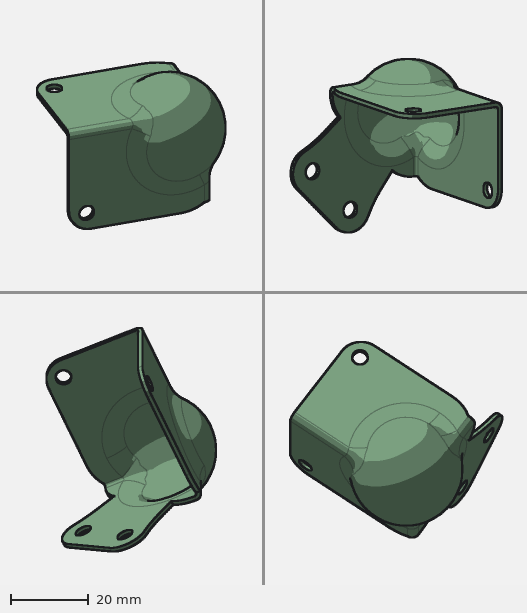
import cadquery as cq
import math

THICKNESS = 1.2
BALL_RADIUS = 14.5
PLATE_FACE = 8.5
BEND_RADIUS = 2.0
BLEND_RADIUS = 7.0
STOCK_LENGTH = 45.0

FLANGE_DEPTH = 20.5
FLANGE_LENGTH = 30.5
CORNER_RADIUS = 6.0
FLANGE_HOLE_DIAMETER = 4.0
FLANGE_HOLE_MARGIN = 4.8

BEND_END = 18.5
NOTCH = 16.0
TONGUE_HOLE_DIAMETER = 4.2
TONGUE_HOLE_FAR = 24.7
TONGUE_HOLE_NEAR = 13.0
TONGUE_DIRECTION = 225.0
TONGUE_TAPER = 7.0
TONGUE_FLARE_RADIUS = 33.0

BEND_LINE = PLATE_FACE - BEND_RADIUS
REACH = BALL_RADIUS + 1.0
TOLERANCE = 1e-3


def corner_form(inset):
    """Solid rounded corner with the blended ball, every surface offset inward by inset."""
    face = PLATE_FACE - inset
    ball_radius = BALL_RADIUS - inset
    stock_center = face - STOCK_LENGTH / 2
    block = (
        cq.Workplane("XY", origin=(stock_center, stock_center, stock_center))
        .box(STOCK_LENGTH, STOCK_LENGTH, STOCK_LENGTH)
        .edges("(>X and >Y) or (>X and >Z) or (>Y and >Z)")
        .fillet(BEND_RADIUS - inset)
    )
    ball = cq.Workplane("XY").sphere(ball_radius).rotate((0, 0, 0), (0, 0, 1), 180)
    form = block.union(ball)

    def joins_ball_to_block(edge):
        middle = edge.positionAt(0.5)
        on_ball = abs(middle.Length - ball_radius) < TOLERANCE
        on_block = max(middle.toTuple()) < face + TOLERANCE
        return on_ball and on_block

    joint = [edge for edge in form.edges().vals() if joins_ball_to_block(edge)]
    return form.newObject(joint).fillet(BLEND_RADIUS + inset)


def flange_trim(plane, height):
    """Region kept around the top or side plate, drawn in a plane at its bend line."""
    step = FLANGE_DEPTH - BEND_END
    relief_radius = (step**2 + BEND_LINE**2) / (2 * step)
    relief_half_angle = math.asin(BEND_LINE / relief_radius) / 2
    relief_middle = (
        relief_radius * (1 - math.cos(relief_half_angle)) - FLANGE_DEPTH,
        relief_radius * math.sin(relief_half_angle),
    )
    corner_center = (CORNER_RADIUS - FLANGE_DEPTH, CORNER_RADIUS - FLANGE_LENGTH)
    diagonal_offset = CORNER_RADIUS / math.sqrt(2)
    corner_middle = (corner_center[0] - diagonal_offset, corner_center[1] - diagonal_offset)
    hole_center = (FLANGE_HOLE_MARGIN - FLANGE_DEPTH, FLANGE_HOLE_MARGIN - FLANGE_LENGTH)
    outline = (
        cq.Workplane(plane)
        .moveTo(REACH, REACH)
        .lineTo(-BEND_END, REACH)
        .lineTo(-BEND_END, BEND_LINE)
        .threePointArc(relief_middle, (-FLANGE_DEPTH, 0))
        .lineTo(-FLANGE_DEPTH, corner_center[1])
        .threePointArc(corner_middle, (corner_center[0], -FLANGE_LENGTH))
        .lineTo(REACH, -FLANGE_LENGTH)
        .close()
    )
    hole = cq.Workplane(plane).center(*hole_center).circle(FLANGE_HOLE_DIAMETER / 2)
    return outline.extrude(height).cut(hole.extrude(height))


def tongue_half_points():
    """Points of the upper tongue side as (x, z), from the notch to the end edge."""
    side_angle = math.radians(TONGUE_DIRECTION - TONGUE_TAPER)
    along = (math.cos(side_angle), math.sin(side_angle))
    outward = (along[1], -along[0])
    hole = (-TONGUE_HOLE_FAR, -TONGUE_HOLE_NEAR)

    to_hole = (hole[0] + NOTCH, hole[1])
    hole_along = to_hole[0] * along[0] + to_hole[1] * along[1]
    hole_outward = to_hole[0] * outward[0] + to_hole[1] * outward[1]
    center_gap = TONGUE_FLARE_RADIUS + CORNER_RADIUS
    flare_drop = TONGUE_FLARE_RADIUS - hole_outward
    flare_along = hole_along - math.sqrt(center_gap**2 - flare_drop**2)

    flare_start = (flare_along * along[0] - NOTCH, flare_along * along[1])
    flare_center = (
        flare_start[0] + TONGUE_FLARE_RADIUS * outward[0],
        flare_start[1] + TONGUE_FLARE_RADIUS * outward[1],
    )
    flare_end_angle = math.atan2(hole[1] - flare_center[1], hole[0] - flare_center[0])
    flare_start_angle = math.atan2(-outward[1], -outward[0])

    def on_circle(center, radius, angle):
        return (center[0] + radius * math.cos(angle), center[1] + radius * math.sin(angle))

    flare_middle = on_circle(
        flare_center, TONGUE_FLARE_RADIUS, (flare_start_angle + flare_end_angle) / 2
    )
    flare_end = on_circle(flare_center, TONGUE_FLARE_RADIUS, flare_end_angle)
    corner_start_angle = flare_end_angle + math.pi
    corner_end_angle = math.radians(TONGUE_DIRECTION)
    corner_middle = on_circle(hole, CORNER_RADIUS, (corner_start_angle + corner_end_angle) / 2)
    corner_end = on_circle(hole, CORNER_RADIUS, corner_end_angle)
    return flare_start, flare_middle, flare_end, corner_middle, corner_end


def back_trim():
    """Region kept around the back plate with its diagonal two-hole tongue."""
    step = BEND_END - NOTCH
    shoulder_radius = (step**2 + BEND_LINE**2) / (2 * step)
    shoulder_half_angle = math.asin(BEND_LINE / shoulder_radius) / 2
    shoulder_middle = (
        shoulder_radius * (1 - math.cos(shoulder_half_angle)) - BEND_END,
        BEND_LINE - shoulder_radius * math.sin(shoulder_half_angle),
    )
    flare_start, flare_middle, flare_end, corner_middle, corner_end = tongue_half_points()

    def mirrored(point):
        return (point[1], point[0])

    plane = cq.Plane(origin=(0, BEND_LINE, 0), xDir=(1, 0, 0), normal=(0, -1, 0))
    outline = (
        cq.Workplane(plane)
        .moveTo(REACH, REACH)
        .lineTo(-BEND_END, REACH)
        .lineTo(-BEND_END, BEND_LINE)
        .threePointArc(shoulder_middle, (-NOTCH, 0))
        .lineTo(*flare_start)
        .threePointArc(flare_middle, flare_end)
        .threePointArc(corner_middle, corner_end)
        .lineTo(*mirrored(corner_end))
        .threePointArc(mirrored(corner_middle), mirrored(flare_end))
        .threePointArc(mirrored(flare_middle), mirrored(flare_start))
        .lineTo(0, -NOTCH)
        .threePointArc(mirrored(shoulder_middle), (BEND_LINE, -BEND_END))
        .lineTo(REACH, -BEND_END)
        .close()
    )
    holes = (
        cq.Workplane(plane)
        .pushPoints([(-TONGUE_HOLE_FAR, -TONGUE_HOLE_NEAR), (-TONGUE_HOLE_NEAR, -TONGUE_HOLE_FAR)])
        .circle(TONGUE_HOLE_DIAMETER / 2)
    )
    return outline.extrude(-REACH).cut(holes.extrude(-REACH))


shell = corner_form(0).cut(corner_form(THICKNESS))
top_plane = cq.Plane(origin=(0, 0, BEND_LINE), xDir=(1, 0, 0), normal=(0, 0, 1))
side_plane = cq.Plane(origin=(BEND_LINE, 0, 0), xDir=(0, 0, 1), normal=(-1, 0, 0))
top_trim = flange_trim(top_plane, REACH)
side_trim = flange_trim(side_plane, -REACH)
trimmed = shell.intersect(top_trim.union(side_trim).union(back_trim()))
result = cq.Workplane(trimmed.solids().val())